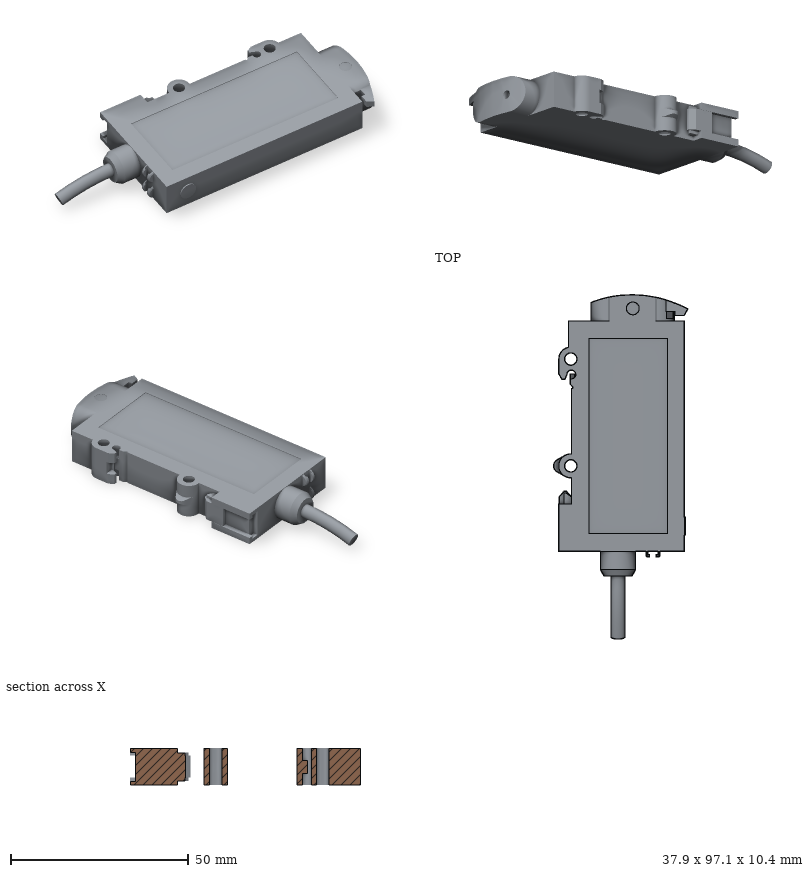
import cadquery as cq
import math


total_length = 97.1
thickness = 10.4
half_thickness = thickness / 2
body_width = 35.4
body_length = 64.9
rail_wall_x = 3.6
upper_wall_x = 2.7
foot_length = 13.4
overlap = 1

ear_radius = 3.4
ear_hole_diameter = 3.4
upper_ear_y = 54.2
lower_ear_y = 24.1
hook_tip_y = 48.4
hook_flank_y = 50.0
hook_tip_left = 0.9
hook_tip_right = 1.7
slot_left = 2.3
slot_right = 3.2
slot_center_y = 49.8
slot_diameter = 2.4
slot_bottom_y = 47.1
groove_depth = 0.7
groove_end_y = 45.9
hook_gap_height = 3.9
hook_gap_y = 50.6
slot_fill_y = 50.0

rib_tip_x = -1.5
rib_tip_radius = 1.9
rib_half_height = 1.3
rib_tip_half_height = 0.5

latch_height = 6.2
latch_plate_depth = 1.5
latch_setback = 0.1
latch_shoulder_y = 15.3
latch_tip_y = 17.0
latch_tip_left = 1.6
latch_tip_right = 2.1
slide_height = 8.0
slide_top_y = 16.4
slide_end_y = 1.4
channel_end_y = 9.5

cap_left = 9.0
cap_right = 32.6
cap_top_y = 72.3
cap_top_x = 20.7
cap_arc_radius = 31.5
lamp_diameter = 3.6
lamp_x = 20.9
lamp_y = 68.4
marking_depth = 0.1
end_hole_diameter = 2.4
end_hole_x = 15.3
end_hole_depth = 1.9

cover_hook_bottom = 2.3
cover_hook_top = 4.4
cover_hook_tip_x = 36.4
cover_hook_tip_y = 68.3
cover_hook_heel_x = 35.3
cover_hook_heel_y = 66.4
cover_hook_step_x = 32.7
cover_hook_step_y = 67.6
cap_pocket_left = 30.4
cap_pocket_right = 32.2
cap_pocket_y = 65.5

panel_left = 8.5
panel_width = 22.0
panel_bottom = 4.95
panel_length = 55.0
panel_depth = 0.2

cable_x = 16.7
bushing_diameter = 10.0
bushing_tip_diameter = 7.8
bushing_straight = 5.1
bushing_length = 7.0
cable_diameter = 4.0
cable_bend_angle = math.radians(19.4)

clip_left = 24.6
clip_right = 28.5
clip_width = 1.1
clip_wall = 0.6
clip_chamfer = 0.3
clip_lip = 0.7
clip_depth = 1.6
clip_length = 4.1
clip_center_z = 2.9

button_diameter = 5.0
button_y = 7.1
button_height = 0.3


def slab(outline, height):
    """Extrude a closed XY outline by the given height, centered on the mid-plane."""
    return outline.close().extrude(height / 2, both=True)


def box(x_min, x_max, y_min, y_max, z_min, z_max):
    size = (x_max - x_min, y_max - y_min, z_max - z_min)
    return cq.Workplane("XY").box(*size, centered=False).translate((x_min, y_min, z_min))


def cap_arc_y(x):
    """Y of the arched end of the cap at the given X."""
    return cap_top_y - cap_arc_radius + math.sqrt(cap_arc_radius**2 - (x - cap_top_x) ** 2)


def housing():
    """Flat body with the square parts of its rail side; the round ears are added later."""
    outline = (
        cq.Workplane("XY")
        .moveTo(0, 0)
        .lineTo(body_width, 0)
        .lineTo(body_width, body_length)
        .lineTo(upper_wall_x, body_length)
        .lineTo(upper_wall_x, upper_ear_y)
        .lineTo(0, upper_ear_y)
        .lineTo(0, hook_flank_y)
        .lineTo(hook_tip_left, hook_tip_y)
        .lineTo(hook_tip_right, hook_tip_y)
        .lineTo(slot_left, slot_center_y)
        .lineTo(slot_right, slot_center_y)
        .lineTo(slot_right, slot_bottom_y)
        .lineTo(slot_right + groove_depth, slot_bottom_y - groove_depth)
        .lineTo(slot_right + groove_depth, groove_end_y)
        .lineTo(rail_wall_x, groove_end_y)
        .lineTo(rail_wall_x, foot_length)
        .lineTo(0, foot_length)
    )
    return slab(outline, thickness)


def ears(body):
    """Two drilled round ears on the rail side, the lower one with a rib."""
    for y in (upper_ear_y, lower_ear_y):
        ear = cq.Workplane("XY").center(ear_radius, y).circle(ear_radius)
        body = body.union(ear.extrude(half_thickness, both=True))
    body = body.union(lower_ear_rib())
    for y in (upper_ear_y, lower_ear_y):
        hole = cq.Workplane("XY").center(ear_radius, y).circle(ear_hole_diameter / 2)
        body = body.cut(hole.extrude(thickness, both=True))
    return body


def lower_ear_rib():
    """Rounded rib whose flanks run tangent to the lower ear; coned faces thin it toward its tip."""
    reach = ear_radius - rib_tip_x
    tip_center = reach - rib_tip_radius
    flank_angle = math.acos((ear_radius - rib_tip_radius) / tip_center)
    flank_x = -math.cos(flank_angle)
    flank_y = math.sin(flank_angle)
    tip_x = rib_tip_radius * flank_x - tip_center
    tip_y = rib_tip_radius * flank_y
    root_x = ear_radius * flank_x
    root_y = ear_radius * flank_y
    plan = slab(
        cq.Workplane("XY")
        .moveTo(0, 0)
        .lineTo(root_x, root_y)
        .lineTo(tip_x, tip_y)
        .threePointArc((-reach, 0), (tip_x, -tip_y))
        .lineTo(root_x, -root_y),
        thickness,
    )
    coned_disc = (
        cq.Workplane("XZ")
        .moveTo(0, rib_half_height)
        .lineTo(ear_radius, rib_half_height)
        .lineTo(reach, rib_tip_half_height)
        .lineTo(reach, -rib_tip_half_height)
        .lineTo(ear_radius, -rib_half_height)
        .lineTo(0, -rib_half_height)
        .close()
        .revolve(360, (0, 0), (0, 1))
    )
    return plan.intersect(coned_disc).translate((ear_radius, lower_ear_y, 0))


def hook_slot(body):
    """Round slot behind the hook; its middle height keeps a filled root and a shortened hook."""
    slot_radius = slot_diameter / 2
    circle = cq.Workplane("XY").center(slot_left + slot_radius, slot_center_y).circle(slot_radius)
    body = body.cut(circle.extrude(thickness, both=True))
    half_gap = hook_gap_height / 2
    root = box(slot_right, rail_wall_x + overlap, slot_bottom_y, slot_fill_y, -half_gap, half_gap)
    gap = box(-overlap, slot_left, hook_tip_y - overlap, hook_gap_y, -half_gap, half_gap)
    return body.union(root).cut(gap)


def latch():
    """Pointed latch plate on a wider slide, both rising from the full-width end of the housing."""
    plate = slab(
        cq.Workplane("XY")
        .moveTo(latch_setback, foot_length - overlap)
        .lineTo(latch_setback, latch_shoulder_y)
        .lineTo(latch_tip_left, latch_tip_y)
        .lineTo(latch_tip_right, latch_tip_y)
        .lineTo(rail_wall_x, latch_shoulder_y)
        .lineTo(rail_wall_x, foot_length - overlap),
        latch_height,
    )
    slide = slab(
        cq.Workplane("XY")
        .moveTo(latch_plate_depth, foot_length - overlap)
        .lineTo(latch_plate_depth, slide_top_y)
        .lineTo(latch_tip_right, slide_top_y)
        .lineTo(rail_wall_x, latch_shoulder_y)
        .lineTo(rail_wall_x, foot_length - overlap),
        slide_height,
    )
    return plate.union(slide)


def latch_recesses():
    """Open channel in front of the latch plate, and the clearance at the end of its slide."""
    half_plate = latch_height / 2
    half_slide = slide_height / 2
    face = box(-overlap, latch_setback, -overlap, foot_length, -half_plate, half_plate)
    channel = box(-overlap, latch_plate_depth, -overlap, channel_end_y, -half_plate, half_plate)
    mouth = box(latch_plate_depth, rail_wall_x, -overlap, slide_end_y, -half_slide, half_slide)
    return face.union(channel).union(mouth)


def cap():
    """Block with fully rounded long sides, cut to an arched end."""
    width = cap_right - cap_left
    core = (
        cq.Workplane("XZ", origin=((cap_left + cap_right) / 2, body_length - overlap, 0))
        .slot2D(width, thickness)
        .extrude(-(cap_top_y - body_length + overlap))
    )
    arch = slab(
        cq.Workplane("XY")
        .moveTo(cap_left, body_length - overlap)
        .lineTo(cap_left, cap_arc_y(cap_left))
        .threePointArc((cap_top_x, cap_top_y), (cap_right, cap_arc_y(cap_right)))
        .lineTo(cap_right, body_length - overlap),
        thickness,
    )
    pocket = box(cap_pocket_left, cap_pocket_right, cap_pocket_y, cover_hook_step_y, 0, half_thickness)
    end_hole = (
        cq.Workplane("XZ", origin=(end_hole_x, cap_top_y - end_hole_depth, 0))
        .circle(end_hole_diameter / 2)
        .extrude(-end_hole_depth)
    )
    return core.intersect(arch).cut(pocket).cut(end_hole)


def cover_hook():
    """Thin hooked arm that continues the arch of the cap past its side."""
    inner_x = cap_right - half_thickness
    middle_x = (inner_x + cover_hook_tip_x) / 2
    return (
        cq.Workplane("XY")
        .workplane(offset=cover_hook_bottom)
        .moveTo(inner_x, cover_hook_step_y)
        .lineTo(inner_x, cap_arc_y(inner_x))
        .threePointArc((middle_x, cap_arc_y(middle_x)), (cover_hook_tip_x, cover_hook_tip_y))
        .lineTo(cover_hook_heel_x, cover_hook_heel_y)
        .lineTo(cover_hook_step_x, cover_hook_heel_y)
        .lineTo(cover_hook_step_x, cover_hook_step_y)
        .close()
        .extrude(cover_hook_top - cover_hook_bottom)
    )


def bushing_and_cable():
    """Tapered bushing with a short cable that bends toward -Z."""
    bushing = (
        cq.Workplane("XY")
        .moveTo(0, overlap)
        .lineTo(bushing_diameter / 2, overlap)
        .lineTo(bushing_diameter / 2, -bushing_straight)
        .lineTo(bushing_tip_diameter / 2, -bushing_length)
        .lineTo(0, -bushing_length)
        .close()
        .revolve(360, (0, 0), (0, 1))
    )
    cable_reach = total_length - cap_top_y - bushing_length
    bend_radius = cable_reach / math.sin(cable_bend_angle) - cable_diameter / 2
    cable = (
        cq.Workplane("XZ", origin=(0, -bushing_length, 0))
        .circle(cable_diameter / 2)
        .revolve(math.degrees(cable_bend_angle), (0, -bend_radius), (1, -bend_radius))
    )
    return bushing.union(cable).translate((cable_x, 0, 0))


def clip_segment():
    """Circular segment standing out of the cable end."""
    half_length = clip_length / 2
    return (
        cq.Workplane("YZ")
        .moveTo(0, -half_length)
        .threePointArc((-clip_depth, 0), (0, half_length))
        .lineTo(overlap, half_length)
        .lineTo(overlap, -half_length)
        .close()
        .extrude(clip_width)
    )


def clips():
    """Four clips, each a segment-shaped wall with a lip at its crest, lips facing inward."""
    half_length = clip_length / 2
    undercut = box(clip_wall, clip_width, clip_lip - clip_depth, overlap, -half_length, half_length)
    clip = clip_segment().faces("<X").edges("%CIRCLE").chamfer(clip_chamfer).cut(undercut)
    left = clip.translate((clip_left, 0, 0))
    right = clip.mirror("YZ").translate((clip_right, 0, 0))
    pair = left.union(right)
    return pair.translate((0, 0, clip_center_z)).union(pair.translate((0, 0, -clip_center_z)))


def button():
    disc = cq.Workplane("YZ", origin=(body_width, button_y, 0)).circle(button_diameter / 2)
    return disc.extrude(button_height)


def markings():
    """Shallow recesses for the label panel and the lamp on the top face."""
    panel = box(
        panel_left,
        panel_left + panel_width,
        panel_bottom,
        panel_bottom + panel_length,
        half_thickness - panel_depth,
        thickness,
    )
    lamp = (
        cq.Workplane("XY", origin=(lamp_x, lamp_y, half_thickness - marking_depth))
        .circle(lamp_diameter / 2)
        .extrude(half_thickness)
    )
    return panel.union(lamp)


result = hook_slot(ears(housing()))
result = result.union(latch()).cut(latch_recesses())
result = result.union(cap()).union(cover_hook())
result = result.union(bushing_and_cable()).union(clips()).union(button())
result = result.cut(markings())